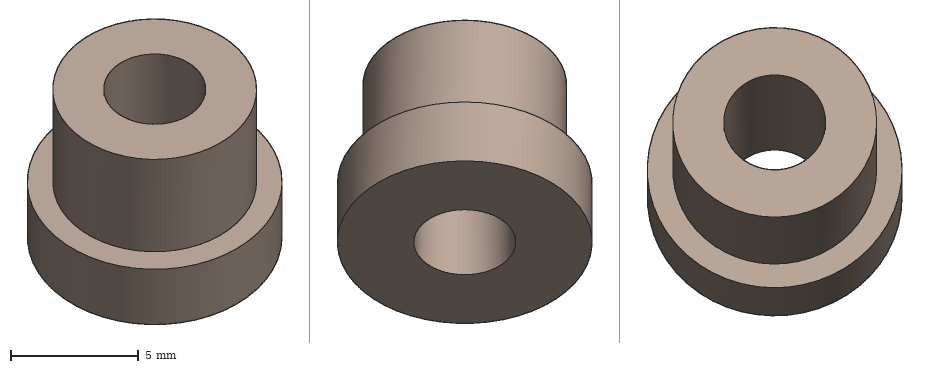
import cadquery as cq

flange_diameter = 10.0
flange_height = 3.0
sleeve_diameter = 8.0
total_height = 8.0
bore_diameter = 4.0


def make_cylinder(diameter, height):
    """Solid cylinder on the Z axis, standing on the XY plane."""
    return cq.Workplane("XY").circle(diameter / 2).extrude(height)


flange = make_cylinder(flange_diameter, flange_height)
sleeve = make_cylinder(sleeve_diameter, total_height)
bore = make_cylinder(bore_diameter, total_height)

result = flange.union(sleeve).cut(bore)